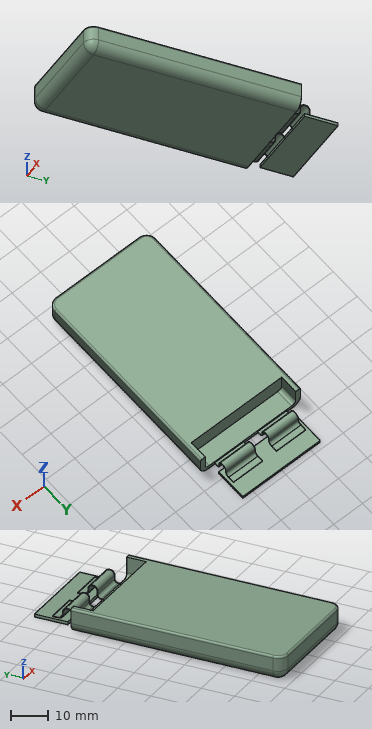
import cadquery as cq
import math

case_width = 34.97
case_length = 63.52
case_height = 7.4
corner_radius = 3.0
top_edge_radius = 0.6
back_y = case_length / 2

notch_width = 31.5
notch_length = 5.8
notch_floor_z = 1.3
notch_fillet = 1.4

board_width = 27.0
board_length = 10.0
board_thickness = 0.9
overall_length = 76.42
board_back_y = back_y + overall_length - case_length
board_front_y = board_back_y - board_length

tab_width = 10.2
tab_spacing = 15.0
tab_centers_x = (-tab_spacing / 2, tab_spacing / 2)
tab_thickness = 0.2
tab_case_z = 0.7
tab_insertion = 1.0
tab_board_z = board_thickness
tab_end_y = back_y + 7.95
tab_top_z = 4.4
loop_center_y = back_y + 3.43
loop_outer_radius = 1.5
bend_outer_radius = 1.2


def make_case():
    """Block with rounded front corners and edges, minus the notch and the tab slots."""
    block = (
        cq.Workplane("XY")
        .box(case_width, case_length, case_height, centered=(True, True, False))
        .edges("(|Z and <Y) or (<Z and (not >Y))")
        .fillet(corner_radius)
    )
    block = block.faces(">Z").edges("not >Y").fillet(top_edge_radius)
    notch = (
        cq.Workplane("XY")
        .box(notch_width, notch_length, case_height, centered=(True, False, False))
        .edges("|Y and <Z")
        .fillet(notch_fillet)
        .translate((0, back_y - notch_length, notch_floor_z))
    )
    case_body = block.cut(notch)
    slot = cq.Workplane("XY").box(
        tab_width, tab_insertion, tab_thickness, centered=(True, False, False)
    )
    for center_x in tab_centers_x:
        case_body = case_body.cut(slot.translate((center_x, back_y - tab_insertion, tab_case_z)))
    return case_body


def make_tab(center_x):
    """Constant-thickness strip: flat on the board, bend, loop, bend, flat into the case."""
    bend_inner = bend_outer_radius - tab_thickness
    loop_inner = loop_outer_radius - tab_thickness
    tab_tip_y = back_y - tab_insertion
    loop_z = tab_top_z - loop_outer_radius
    far_y = loop_center_y + loop_outer_radius
    near_y = loop_center_y - loop_outer_radius
    board_bend_z = tab_board_z + bend_outer_radius
    case_bend_z = tab_case_z + bend_outer_radius
    board_bend_y = far_y + bend_inner
    case_bend_y = near_y - bend_inner
    diagonal = math.cos(math.radians(45))

    def bend_point(center_y, center_z, radius, side):
        """Midpoint of a quarter bend, below its center and toward the given Y side."""
        return (center_y + side * radius * diagonal, center_z - radius * diagonal)

    profile = (
        cq.Workplane("YZ")
        .moveTo(tab_end_y, tab_board_z)
        .lineTo(board_bend_y, tab_board_z)
        .threePointArc(
            bend_point(board_bend_y, board_bend_z, bend_outer_radius, -1),
            (far_y - tab_thickness, board_bend_z),
        )
        .lineTo(far_y - tab_thickness, loop_z)
        .threePointArc((loop_center_y, loop_z + loop_inner), (near_y + tab_thickness, loop_z))
        .lineTo(near_y + tab_thickness, case_bend_z)
        .threePointArc(
            bend_point(case_bend_y, case_bend_z, bend_outer_radius, 1),
            (case_bend_y, tab_case_z),
        )
        .lineTo(tab_tip_y, tab_case_z)
        .lineTo(tab_tip_y, tab_case_z + tab_thickness)
        .lineTo(case_bend_y, tab_case_z + tab_thickness)
        .threePointArc(
            bend_point(case_bend_y, case_bend_z, bend_inner, 1),
            (near_y, case_bend_z),
        )
        .lineTo(near_y, loop_z)
        .threePointArc((loop_center_y, tab_top_z), (far_y, loop_z))
        .lineTo(far_y, board_bend_z)
        .threePointArc(
            bend_point(board_bend_y, board_bend_z, bend_inner, -1),
            (board_bend_y, tab_board_z + tab_thickness),
        )
        .lineTo(tab_end_y, tab_board_z + tab_thickness)
        .close()
    )
    return profile.extrude(tab_width / 2, both=True).translate((center_x, 0, 0))


def make_board_with_tabs():
    """Board and its two tabs, joined where the tab ends lie flat on the board."""
    board = cq.Workplane("XY").box(
        board_width, board_length, board_thickness, centered=(True, False, False)
    )
    board = board.translate((0, board_front_y, 0))
    for center_x in tab_centers_x:
        board = board.union(make_tab(center_x))
    return board


case = make_case()
board_with_tabs = make_board_with_tabs()

result = cq.Compound.makeCompound([case.val(), board_with_tabs.val()])